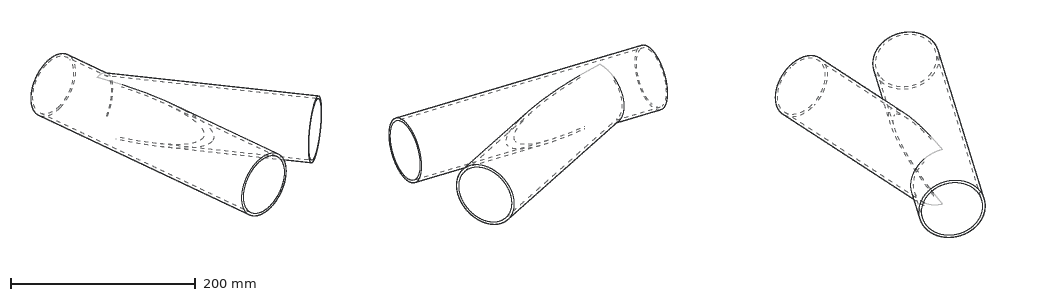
import cadquery as cq

run_length = 304.8
outer_diameter = 73.0
bore_diameter = 67.0
branch_angle = 30.0
branch_length = 240.8
junction_x = 63.7


def run_cylinder(diameter):
    """Full-length cylinder along the run axis."""
    return cq.Workplane("YZ").circle(diameter / 2).extrude(run_length)


def branch_cylinder(diameter):
    """Cylinder from the axis crossing to the end of the branch."""
    return (
        cq.Workplane("YZ")
        .circle(diameter / 2)
        .extrude(branch_length)
        .rotate((0, 0, 0), (0, 0, 1), branch_angle)
        .translate((junction_x, 0, 0))
    )


def wye_solid(diameter):
    """Run and branch of one diameter joined together."""
    return run_cylinder(diameter).union(branch_cylinder(diameter))


result = wye_solid(outer_diameter).cut(wye_solid(bore_diameter))